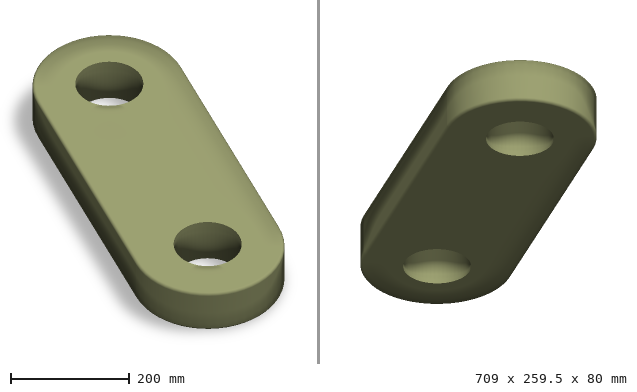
import cadquery as cq

length = 709.0
width = 259.5
thickness = 80.0
hole_diameter = 115.0
edge_radius = 5.0

hole_spacing = length - width

bar = (
    cq.Workplane("XY")
    .slot2D(length, width)
    .extrude(thickness)
    .faces("<Z or >Z")
    .edges()
    .fillet(edge_radius)
)

result = (
    bar.faces(">Z")
    .workplane(origin=(0, 0, thickness))
    .pushPoints([(-hole_spacing / 2, 0), (hole_spacing / 2, 0)])
    .hole(hole_diameter)
)